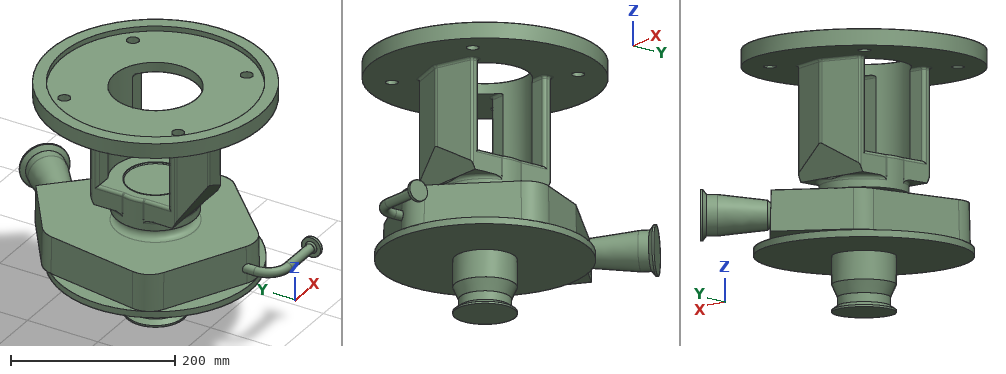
import cadquery as cq
import math

plate_bottom = 69.5
plate_top = 78.0
body_top = 129.5
hub_bottom = 145.5
yoke_bottom = 160.5
yoke_floor = 187.5
flange_bottom = 303.7
flange_top = 324.5

flange_radius = 150.0
recess_radius = 133.0
recess_depth = 7.0
bore_radius = 58.0
bolt_radius = 8.0
bolt_spacing = 162.0

yoke_half_width = 53.0
yoke_shoulder = 61.0
yoke_ridge = 76.5
ridge_fillet = 10.3
yoke_edge_fillet = 3.0
window_half_width = 50.0
window_fillet = 4.0
weld_radius = 3.3
slope_top = 200.5
slope_foot = 56.0

hub_radius = 55.0
hub_flare = 5.0
hub_blend = 5.0
hub_recess_radius = 40.0
hub_recess_depth = 2.0
hub_recess_chamfer = 1.2
neck_radius = 45.5
neck_flare = 10.0

apothem = 114.0
body_fillet = 32.5
body_draft = 1.2
outlet_angle = 45
pentagon_step = 72
pentagon_face_angle = 18
rounded_corner_angles = (90, 162, 234, 306)
outlet_corner_reach = 123.0
plate_radius = 135.0

inlet_radius = 39.5
inlet_throat_radius = 32.5
inlet_cone_top = 34.0
inlet_cone_bottom = 18.5
inlet_ferrule_radius = 39.5

outlet_offset = 90.0
outlet_root_radius = 15.0
outlet_small_radius = 18.5
outlet_large_radius = 25.5
outlet_ferrule_radius = 31.5
outlet_collar = 4.5
outlet_cone_end = 65.5
outlet_length = 86.0

drain_x = 1.5
drain_y = -170.0
drain_z = 98.5
drain_radius = 6.0
drain_bend = 28.0
drain_end = 88.8
drain_ferrule_radius = 13.5
drain_collar_radius = 8.2
drain_rim_thickness = 4.0
drain_taper_length = 2.5

rim_thickness = 2.5
taper_length = 5.0

pick_margin = 0.5


def polar(radius, angle):
    """Point at a given radius and angle in degrees."""
    return (radius * math.cos(math.radians(angle)), radius * math.sin(math.radians(angle)))


def arc_sag(radius):
    """Offset, along each axis, of the middle of a quarter arc from its tangent corner."""
    return radius * (1 - math.sqrt(0.5))


def disc(radius, bottom, top):
    """Upright cylinder on the main axis."""
    return cq.Workplane("XY").workplane(offset=bottom).circle(radius).extrude(top - bottom)


def make_flange():
    """Round flange with a shallow recess and four bolt holes."""
    recess = disc(recess_radius, flange_top - recess_depth, flange_top)
    bolts = (
        cq.Workplane("XY").workplane(offset=flange_bottom)
        .rect(bolt_spacing, bolt_spacing, forConstruction=True).vertices()
        .circle(bolt_radius).extrude(flange_top - flange_bottom)
    )
    return disc(flange_radius, flange_bottom, flange_top).cut(recess).cut(bolts)


def make_yoke_block():
    """Six-sided block, sloped inwards below the posts."""
    outline = [
        (yoke_half_width, yoke_shoulder), (0, yoke_ridge), (-yoke_half_width, yoke_shoulder),
        (-yoke_half_width, -yoke_shoulder), (0, -yoke_ridge), (yoke_half_width, -yoke_shoulder),
    ]
    block = (
        cq.Workplane("XY").workplane(offset=yoke_bottom)
        .polyline(outline).close().extrude(flange_bottom - yoke_bottom)
    )
    block = block.edges("|Z and (>Y or <Y)").fillet(ridge_fillet)
    block = block.edges("|Z and (>X or <X)").fillet(yoke_edge_fillet)
    profile = [
        (slope_foot, yoke_bottom), (yoke_ridge, slope_top), (yoke_ridge, flange_bottom),
        (-yoke_ridge, flange_bottom), (-yoke_ridge, slope_top), (-slope_foot, yoke_bottom),
    ]
    sloped = cq.Workplane("YZ").polyline(profile).close().extrude(yoke_half_width, both=True)
    return block.intersect(sloped)


def make_hub_flare():
    """Concave ring under the yoke, trimmed to the yoke's footprint."""
    outer = hub_radius + hub_flare
    low = yoke_bottom - hub_flare
    sag = arc_sag(hub_flare)
    ring = (
        cq.Workplane("XZ").moveTo(0, low).lineTo(hub_radius, low)
        .threePointArc((hub_radius + sag, yoke_bottom - sag), (outer, yoke_bottom))
        .lineTo(0, yoke_bottom).close().revolve(360, (0, 0, 0), (0, 1, 0))
    )
    footprint = (
        cq.Workplane("XY").workplane(offset=low)
        .rect(2 * yoke_half_width, 2 * slope_foot).extrude(hub_flare)
    )
    return ring.intersect(footprint)


def blend_hub(yoke):
    """Round the four upright seams where the hub bulges out of the yoke's flat sides."""
    seam = math.sqrt(hub_radius**2 - yoke_half_width**2)
    middle = (yoke_bottom + yoke_floor) / 2
    for x, y in ((1, 1), (1, -1), (-1, 1), (-1, -1)):
        corner = cq.selectors.NearestToPointSelector((x * yoke_half_width, y * seam, middle))
        yoke = yoke.edges(corner).fillet(hub_blend)
    return yoke


def make_yoke():
    """Yoke and hub, opened by the window, with softened window edges."""
    yoke = blend_hub(make_yoke_block().union(disc(hub_radius, hub_bottom, yoke_floor)))
    window = (
        cq.Workplane("XY").workplane(offset=yoke_floor)
        .rect(2 * flange_radius, 2 * window_half_width).extrude(flange_bottom - yoke_floor)
    )
    yoke = yoke.cut(window)
    reach = window_half_width + pick_margin
    for side in (-1, 1):
        rim = cq.selectors.BoxSelector(
            (side * (yoke_half_width - window_fillet), -reach, yoke_floor - pick_margin),
            (side * (hub_radius + pick_margin), reach, flange_bottom - pick_margin),
        )
        yoke = yoke.edges(rim).fillet(window_fillet)
    recess = disc(hub_recess_radius, yoke_floor - hub_recess_depth, yoke_floor)
    recess = recess.faces("<Z").edges().chamfer(hub_recess_chamfer)
    return yoke.union(make_hub_flare()).cut(recess)


def make_upper_part():
    """Flange and yoke, with the bore running down between the posts."""
    upper = make_flange().union(make_yoke())
    reach_x = yoke_half_width + pick_margin
    reach_y = yoke_ridge + pick_margin
    joint = cq.selectors.BoxSelector(
        (-reach_x, -reach_y, flange_bottom - pick_margin),
        (reach_x, reach_y, flange_bottom + pick_margin),
        boundingbox=True,
    )
    upper = upper.edges(joint).fillet(weld_radius)
    return upper.cut(disc(bore_radius, yoke_floor, flange_top))


def make_neck():
    """Neck between the hub and the body, flaring out onto the body."""
    foot = neck_radius + neck_flare
    sag = arc_sag(neck_flare)
    return (
        cq.Workplane("XZ").moveTo(0, body_top).lineTo(foot, body_top)
        .threePointArc((neck_radius + sag, body_top + sag), (neck_radius, body_top + neck_flare))
        .lineTo(neck_radius, hub_bottom).lineTo(0, hub_bottom).close()
        .revolve(360, (0, 0, 0), (0, 1, 0))
    )


def make_body():
    """Drafted pentagon with rounded corners and a sharp outlet corner, on a round plate."""
    foot_apothem = apothem + (body_top - plate_top) * math.tan(math.radians(body_draft))
    corner_radius = foot_apothem / math.cos(math.radians(pentagon_step / 2))
    rounded = [polar(corner_radius, outlet_angle + angle) for angle in rounded_corner_angles]
    blunt_angle = pentagon_face_angle / 2
    blunt_radius = foot_apothem / math.cos(math.radians(blunt_angle))
    blunt = polar(blunt_radius, outlet_angle - blunt_angle)
    face_middle = polar(foot_apothem, outlet_angle)
    along_face = polar(outlet_corner_reach, outlet_angle + 90)
    sharp = (face_middle[0] + along_face[0], face_middle[1] + along_face[1])
    body = (
        cq.Workplane("XY").workplane(offset=plate_top)
        .polyline([blunt, sharp] + rounded).close()
        .extrude(body_top - plate_top, taper=body_draft)
    )
    for x, y in rounded:
        corner = cq.selectors.NearestToPointSelector((x, y, (plate_top + body_top) / 2))
        body = body.edges(corner).fillet(body_fillet)
    return body.union(disc(plate_radius, plate_bottom, plate_top))


def ferrule_profile(length, tube_radius, rim_radius):
    """Points (radius, position) of a ferrule ending at the given length."""
    rim_back = length - rim_thickness
    return [
        (tube_radius, rim_back - taper_length), (rim_radius, rim_back),
        (rim_radius, length), (0, length),
    ]


def turned(plane, points):
    """Solid of revolution about the normal of the plane, from (radius, position) points."""
    profile_plane = cq.Plane(origin=plane.origin, xDir=plane.xDir, normal=-plane.yDir)
    return cq.Workplane(profile_plane).polyline(points).close().revolve(360, (0, 0, 0), (0, 1, 0))


def make_inlet():
    """Pipe hanging below the plate, narrowing to a throat above its ferrule."""
    plane = cq.Plane(origin=(0, 0, plate_bottom), xDir=(1, 0, 0), normal=(0, 0, -1))
    points = [
        (0, 0), (inlet_radius, 0),
        (inlet_radius, plate_bottom - inlet_cone_top),
        (inlet_throat_radius, plate_bottom - inlet_cone_bottom),
    ]
    points += ferrule_profile(plate_bottom, inlet_throat_radius, inlet_ferrule_radius)
    return turned(plane, points)


def make_outlet():
    """Pipe widening from the outlet face to its ferrule."""
    face_x, face_y = polar(apothem, outlet_angle)
    shift_x, shift_y = polar(outlet_offset, outlet_angle + 90)
    plane = cq.Plane(
        origin=(face_x + shift_x, face_y + shift_y, (plate_top + body_top) / 2),
        xDir=(0, 0, 1),
        normal=polar(1, outlet_angle) + (0,),
    )
    points = [
        (0, 0), (outlet_root_radius, 0), (outlet_small_radius, outlet_collar),
        (outlet_large_radius, outlet_cone_end),
    ]
    points += ferrule_profile(outlet_length, outlet_large_radius, outlet_ferrule_radius)
    return turned(plane, points)


def make_drain():
    """Tube swept out of the body, around a quarter bend and along to its ferrule."""
    bend_start = (drain_x, drain_y + drain_bend)
    bend_end = (drain_x + drain_bend, drain_y)
    sag = arc_sag(drain_bend)
    rim_back = drain_end - drain_rim_thickness
    ferrule_start = rim_back - drain_taper_length
    path = (
        cq.Workplane("XY").workplane(offset=drain_z).moveTo(drain_x, -apothem)
        .lineTo(*bend_start).threePointArc((drain_x + sag, drain_y + sag), bend_end)
        .lineTo(ferrule_start, drain_y)
    )
    start = cq.Workplane("XZ", origin=(drain_x, -apothem, drain_z)).circle(drain_radius)
    points = [
        (0, ferrule_start), (drain_radius, ferrule_start), (drain_collar_radius, rim_back),
        (drain_ferrule_radius, rim_back), (drain_ferrule_radius, drain_end), (0, drain_end),
    ]
    plane = cq.Plane(origin=(0, drain_y, drain_z), xDir=(0, 0, 1), normal=(1, 0, 0))
    return start.sweep(path).union(turned(plane, points))


result = make_upper_part().union(make_neck()).union(make_body())
for fitting in (make_inlet(), make_outlet(), make_drain()):
    result = result.union(fitting)